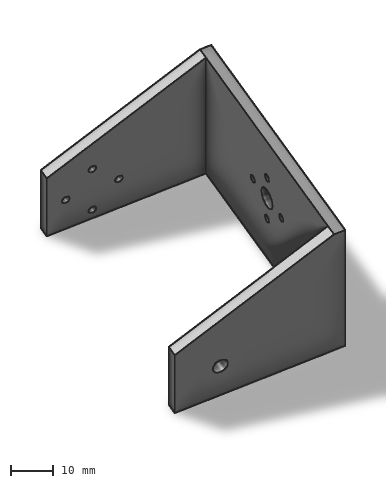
import cadquery as cq

width = 66.2
depth = 45.0
height = 40.0
wall = 3.0

front_height = height / 2

screw_diameter = 2.0
screw_offset = 7.0
back_bore_diameter = 5.5
back_bore_z = 20.5
pivot_diameter = 4.0
pivot_from_front = 12.05
pivot_z = 10.0

front_y = -depth / 2
back_y = depth / 2
plate_front_y = back_y - wall
left_x = -width / 2
right_inner_x = width / 2 - wall
pivot_y = front_y + pivot_from_front


def side_wall(start_x):
    """Side wall with a sloping top edge, extending one wall thickness in +X."""
    return (
        cq.Workplane("YZ", origin=(start_x, 0, 0))
        .moveTo(front_y, 0)
        .lineTo(back_y, 0)
        .lineTo(back_y, height)
        .lineTo(plate_front_y, height)
        .lineTo(front_y, front_height)
        .close()
        .extrude(wall)
    )


def hole(plane, diameter):
    """Cutter for one hole at the plane origin, one wall thickness deep."""
    return plane.circle(diameter / 2).extrude(wall)


def screw_holes(plane):
    """Cutter for four screw holes in a cross around the plane origin."""
    return (
        plane.polarArray(screw_offset, 0, 360, 4)
        .circle(screw_diameter / 2)
        .extrude(wall)
    )


back_plate = cq.Workplane("XY").box(width, wall, height, centered=(True, False, False))
back_plate = back_plate.translate((0, plate_front_y, 0))
bracket = back_plate.union(side_wall(left_x)).union(side_wall(right_inner_x))

back_plane = cq.Workplane("XZ", origin=(0, back_y, back_bore_z))
bracket = bracket.cut(hole(back_plane, back_bore_diameter))
bracket = bracket.cut(screw_holes(back_plane))

left_plane = cq.Workplane("YZ", origin=(left_x, pivot_y, pivot_z))
bracket = bracket.cut(screw_holes(left_plane))

right_plane = cq.Workplane("YZ", origin=(right_inner_x, pivot_y, pivot_z))
bracket = bracket.cut(hole(right_plane, pivot_diameter))

result = bracket